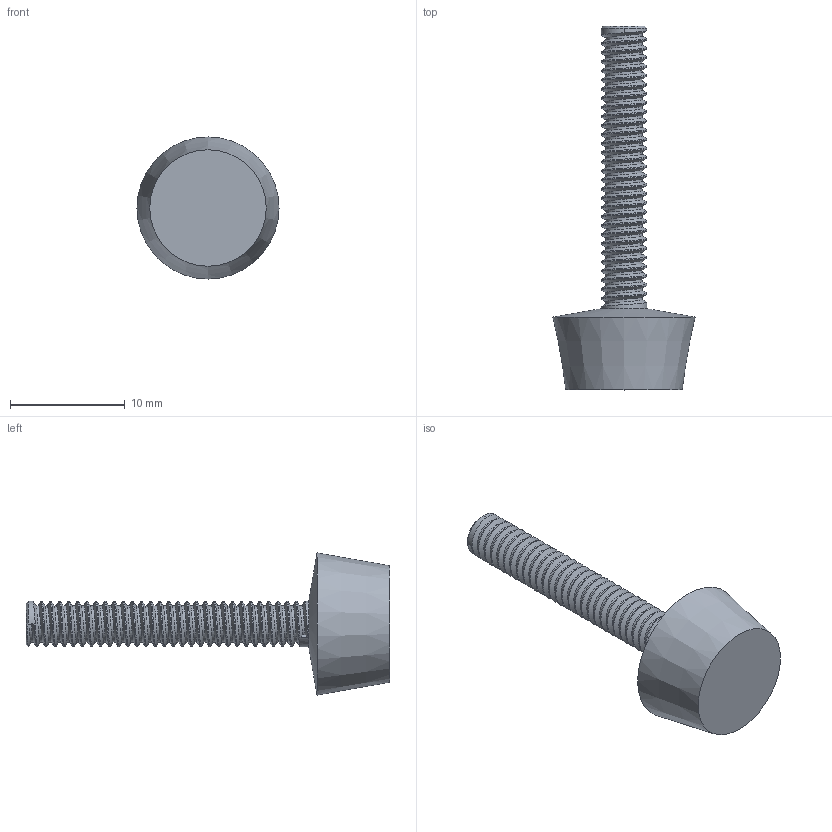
import cadquery as cq
import math

overall_length = 31.75

head_diameter = 12.4
head_length = 6.35
head_taper = 10.0

stud_diameter = 4.0
inch = 25.4
threads_per_inch = 32
thread_pitch = inch / threads_per_inch
thread_depth = 0.4
thread_flank_angle = 30.0
crest_width = thread_pitch / 8
tip_chamfer = 0.2
thread_start = 0.35
thread_turns = 30.1

taper_slope = math.tan(math.radians(head_taper))
head_radius = head_diameter / 2
stud_radius = stud_diameter / 2
head_face_radius = head_radius - head_length * taper_slope
shoulder_y = head_length + (head_radius - stud_radius) * taper_slope


def make_blank():
    """Head and plain stud, a half-profile beside the Y axis turned a full circle about it."""
    return (
        cq.Workplane("YZ")
        .moveTo(0, 0)
        .lineTo(0, head_face_radius)
        .lineTo(head_length, head_radius)
        .lineTo(shoulder_y, stud_radius)
        .lineTo(overall_length - tip_chamfer, stud_radius)
        .lineTo(overall_length, stud_radius - tip_chamfer)
        .lineTo(overall_length, 0)
        .close()
        .revolve(360, (0, 0, 0), (1, 0, 0))
    )


def make_thread_groove():
    """Helical V-groove with a flat root, running from the -X side of the tip towards the head."""
    clearance = 0.1
    flank_slope = math.tan(math.radians(thread_flank_angle))
    mouth_half_width = (thread_pitch - crest_width) / 2
    outer_half_width = mouth_half_width + clearance * flank_slope
    root_half_width = mouth_half_width - thread_depth * flank_slope
    outer_radius = stud_radius + clearance
    root_radius = stud_radius - thread_depth

    thread_length = thread_turns * thread_pitch
    path = cq.Wire.makeHelix(thread_pitch, thread_length, stud_radius)
    groove = (
        cq.Workplane("XZ")
        .moveTo(root_radius, -root_half_width)
        .lineTo(outer_radius, -outer_half_width)
        .lineTo(outer_radius, outer_half_width)
        .lineTo(root_radius, root_half_width)
        .close()
        .sweep(cq.Workplane(obj=path), isFrenet=True)
    )
    return (
        groove.rotate((0, 0, 0), (0, 0, 1), 180)
        .rotate((0, 0, 0), (1, 0, 0), 90)
        .translate((0, overall_length - thread_start, 0))
    )


result = make_blank().cut(make_thread_groove())